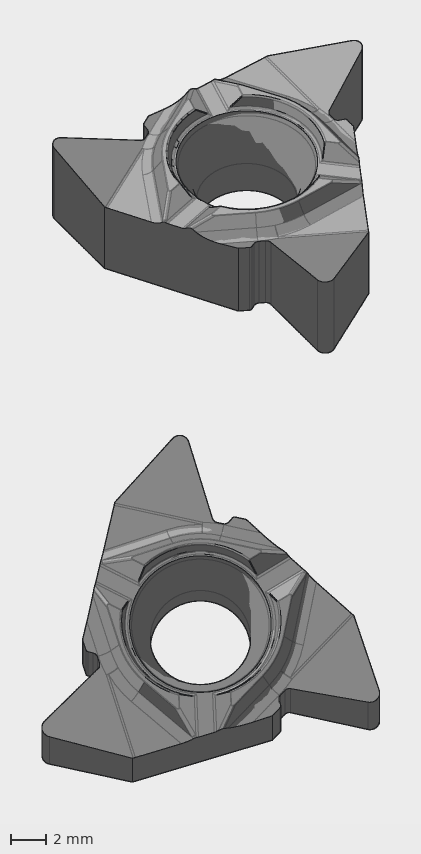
import cadquery as cq
import math

height = 6.05
land_z = 4.98
ledge_z = 5.28

side_apothem = 6.35
side_angle = 60.0
tooth_angle = 60.0
tooth_base_y = 6.03
tip_radius = 0.55
tip_y = 10.5
notch_y = 6.14
notch_width = 0.76
notch_radius = 0.35
stop_y = 6.65
stop_radius = 0.15

fold_y = 5.91
ramp_angle = 10.0
ramp_left = -7.22
ramp_right = 6.46

boss_radius = 4.83
boss_arc = 31.5
wall_angle = 55.0
boss_root = 0.57
foot_blend = 0.76
rim_blend = 0.05

bore_radius = 2.85
bell_start_z = 2.2
bell_end_radius = 3.92
bell_end_z = 5.0
lip_radius = 4.03
recess_foot_radius = 4.25
recess_foot_blend = 0.17
recess_top_radius = 4.5
recess_edge_blend = 0.11

slot_direction = 45.0
slot_offset = 0.08
slot_floor_half = 0.53
slot_top_half = 1.473
slot_blend = 0.23
slot_wall_blend = 0.19

turns = (0, 120, 240)
land_radius = 7.6
reach = 11.4
through = 0.19


def polar(radius, angle):
    """Point at a radius and an angle in degrees."""
    return (radius * math.cos(math.radians(angle)), radius * math.sin(math.radians(angle)))


def turned(point, angle):
    """Point turned about the axis."""
    radius = math.hypot(*point)
    return polar(radius, angle + math.degrees(math.atan2(point[1], point[0])))


def repeated(shape):
    """The shape joined with its copies a third of a turn apart."""
    joined = shape
    for turn in turns[1:]:
        joined = joined.union(shape.rotate((0, 0, 0), (0, 0, 1), turn))
    return joined


def upright_edge(x, y):
    """Selector of the vertical edge through a corner of the outline."""
    margin = 0.02
    low = (x - margin, y - margin, -margin)
    high = (x + margin, y + margin, height + margin)
    return cq.selectors.BoxSelector(low, high)


def outline_prism():
    """Prism over the three-toothed outline, with rounded upright corners."""
    slope = math.tan(math.radians(tooth_angle))
    apex_y = tip_y + tip_radius
    apex_x = -side_apothem + (apex_y - tooth_base_y) / slope
    notch_x = apex_x + (apex_y - notch_y) / slope
    notch_end_x = notch_x + notch_width
    stop_x = notch_end_x + (stop_y - notch_y) / slope
    facing_x, facing_y = polar(1, side_angle)
    stop_end_x = (side_apothem - stop_y * facing_y) / facing_x

    base = (-side_apothem, tooth_base_y)
    apex = (apex_x, apex_y)
    notch = (notch_x, notch_y)
    notch_end = (notch_end_x, notch_y)
    stop = (stop_x, stop_y)
    stop_end = (stop_end_x, stop_y)
    third = (base, apex, notch, notch_end, stop, stop_end)
    points = [turned(point, -turn) for turn in turns for point in third]
    prism = cq.Workplane("XY").polyline(points).close().extrude(height)

    rounded = ((apex, tip_radius), (notch, notch_radius), (notch_end, notch_radius), (stop, stop_radius))
    for corner, radius in rounded:
        for turn in turns:
            prism = prism.edges(upright_edge(*turned(corner, turn))).fillet(radius)
    return prism


def land():
    """Flat land with the three rising tooth faces, wider than the outline."""
    ramp = math.radians(ramp_angle)
    tangent = foot_blend * math.tan(ramp / 2)
    bend_start = (fold_y - tangent, land_z)
    bend_end = (fold_y + tangent * math.cos(ramp), land_z + tangent * math.sin(ramp))
    ramp_end = (reach, land_z + (reach - fold_y) * math.tan(ramp))
    tooth = (
        cq.Workplane("YZ", origin=(ramp_left, 0, 0))
        .lineTo(0, land_z)
        .lineTo(*bend_start)
        .tangentArcPoint(bend_end, relative=False)
        .lineTo(*ramp_end)
        .lineTo(reach, 0)
        .close()
        .extrude(ramp_right - ramp_left)
    )
    return cq.Workplane("XY").circle(land_radius).extrude(land_z).union(repeated(tooth))


def boss():
    """Boss with sloped walls: three round stretches joined by three corners."""
    half_corner = (120 - boss_arc) / 2
    corner_radius = boss_radius / math.cos(math.radians(half_corner))
    rim = cq.Workplane("XY", origin=(0, 0, height)).moveTo(*polar(boss_radius, 90))
    for turn in turns:
        start = 90 + turn
        end = start + boss_arc
        rim = rim.threePointArc(polar(boss_radius, (start + end) / 2), polar(boss_radius, end))
        rim = rim.lineTo(*polar(corner_radius, end + half_corner))
        rim = rim.lineTo(*polar(boss_radius, start + 120))
    return rim.close().extrude(land_z - boss_root - height, taper=wall_angle - 90)


def slot_cutter():
    """Slot from the axis outward, with sloped walls and rounded floor corners."""
    cutter = (
        cq.Workplane("YZ")
        .moveTo(slot_offset - slot_floor_half, ledge_z)
        .lineTo(slot_offset + slot_floor_half, ledge_z)
        .lineTo(slot_offset + slot_top_half, height)
        .lineTo(slot_offset - slot_top_half, height)
        .close()
        .extrude(reach)
        .edges("|X and <Z")
        .fillet(slot_blend)
    )
    return cutter.rotate((0, 0, 0), (0, 0, 1), slot_direction)


def bore_cutter():
    """Bore that opens upward in a bell and steepens again just below the ledge."""
    profile = (
        cq.Workplane("XZ")
        .moveTo(0, -through)
        .lineTo(bore_radius, -through)
        .lineTo(bore_radius, bell_start_z)
        .tangentArcPoint((bell_end_radius, bell_end_z), relative=False)
        .tangentArcPoint((lip_radius, ledge_z), relative=False)
        .lineTo(0, ledge_z)
        .close()
    )
    return profile.revolve(360, (0, 0, 0), (0, 1, 0))


def recess_cutter():
    """Conical recess above the ledge, rounded at its foot."""
    profile = (
        cq.Workplane("XZ")
        .moveTo(0, ledge_z)
        .lineTo(recess_foot_radius, ledge_z)
        .lineTo(recess_top_radius, height)
        .lineTo(0, height)
        .close()
    )
    return profile.revolve(360, (0, 0, 0), (0, 1, 0)).faces("<Z").edges().fillet(recess_foot_blend)


def sloped_faces(body, angle):
    """Faces that slope at an angle to the horizontal."""
    upward = math.cos(math.radians(angle))
    return [face for face in body.faces().vals() if abs(face.normalAt().z - upward) < 0.001]


def edges_below(faces, limit):
    """Edges of the faces that lie wholly below a height."""
    return [edge for face in faces for edge in face.Edges() if edge.BoundingBox().zmax < limit]


def shared_edges(faces, others):
    """Edges where the faces meet the other faces."""
    candidates = [edge for other in others for edge in other.Edges()]
    edges = [edge for face in faces for edge in face.Edges()]
    return [edge for edge in edges if any(edge.isSame(candidate) for candidate in candidates)]


def blended(body, radius, edges):
    """The body with the edges rounded."""
    return cq.Workplane(body.val().fillet(radius, edges))


depth = height - ledge_z
slot_angle = math.degrees(math.atan2(depth, slot_top_half - slot_floor_half))
recess_angle = math.degrees(math.atan2(depth, recess_top_radius - recess_foot_radius))

body = land().union(boss())
body = blended(body, foot_blend, edges_below(sloped_faces(body, wall_angle), (land_z + height) / 2))

body = body.cut(repeated(slot_cutter()))
slot_wall_edges = shared_edges(sloped_faces(body, wall_angle), sloped_faces(body, slot_angle))
body = blended(body, slot_wall_blend, slot_wall_edges)

body = body.cut(recess_cutter()).cut(bore_cutter())
recess_edges = shared_edges(sloped_faces(body, recess_angle), body.faces(">Z").vals())
body = blended(body, recess_edge_blend, recess_edges)

rim_edges = shared_edges(sloped_faces(body, wall_angle), body.faces(">Z").vals())
body = blended(body, rim_blend, rim_edges)

result = body.intersect(outline_prism())